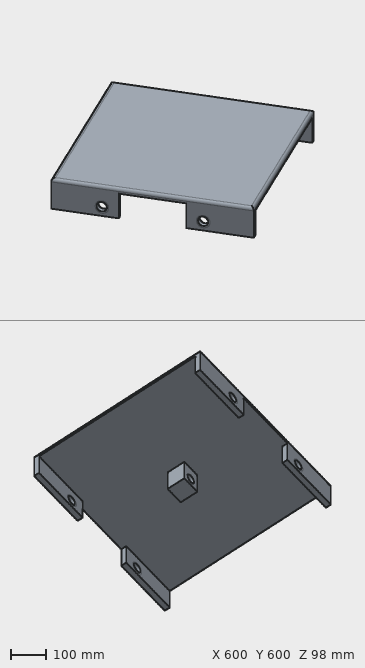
import cadquery as cq

side = 600.0
height = 98.0

plate_thickness = 18.0
edge_radius = 10.0

leg_length = 200.0
leg_thickness = 18.0

block_side = 60.0

hole_diameter = 30.0
hole_height = 30.0
leg_hole_offset = 150.0
bushing_diameter = 40.0

leg_height = height - plate_thickness
leg_x = (side - leg_length) / 2
leg_y = (side - leg_thickness) / 2


def standing_box(length, width, x, y):
    """A box reaching from the floor (Z = 0) to the underside of the plate."""
    return cq.Workplane("XY").box(length, width, leg_height, centered=(True, True, False)).translate((x, y, 0))


def make_plate():
    """The square top plate, with its upper rim rounded."""
    plate = cq.Workplane("XY").workplane(offset=leg_height).box(
        side, side, plate_thickness, centered=(True, True, False)
    )
    return plate.faces(">Z").edges().fillet(edge_radius)


def add_supports(body):
    """Add the four corner legs and the middle block."""
    for x in (-leg_x, leg_x):
        for y in (-leg_y, leg_y):
            body = body.union(standing_box(leg_length, leg_thickness, x, y))
    return body.union(standing_box(block_side, block_side, 0, 0))


def rod_along_y(diameter, length, x, y):
    """A cylinder along Y at hole height, centred on the given X and Y."""
    return cq.Workplane("XZ", origin=(x, y + length / 2, hole_height)).circle(diameter / 2).extrude(length)


def drill_block(body):
    """Drill the plain hole through the middle block."""
    return body.cut(rod_along_y(hole_diameter, block_side, 0, 0))


def add_bushings(body):
    """Set a flush bushing in each leg, leaving its rim as a seam on the leg faces."""
    for x in (-leg_hole_offset, leg_hole_offset):
        for y in (-leg_y, leg_y):
            seat = rod_along_y(bushing_diameter, leg_thickness, x, y)
            bore = rod_along_y(hole_diameter, leg_thickness, x, y)
            body = body.cut(seat, clean=False).union(seat.cut(bore), clean=False)
    return body


result = add_bushings(drill_block(add_supports(make_plate())))